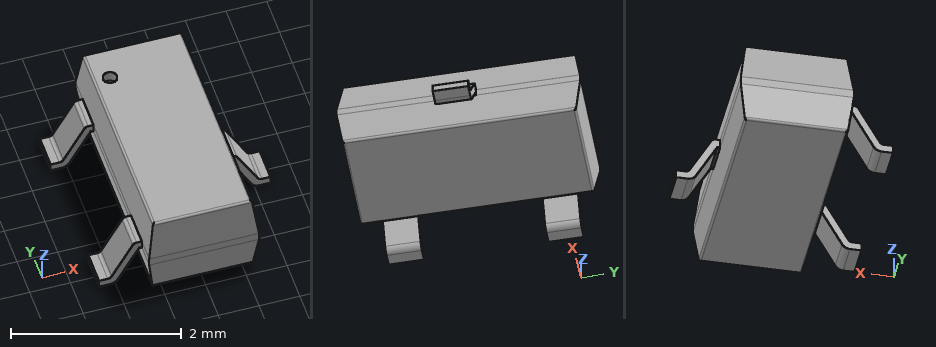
import cadquery as cq
import math

total_width = 2.4
total_height = 1.15
body_width = 1.35
body_length = 2.9
standoff = 0.058

lead_thickness = 0.107
lead_width = 0.423
lead_top = 0.63
lead_row_pitch = 1.9
shoulder_length = 0.095
lead_slope = 61.0
bend_radius = 0.055
heel_radius = 0.107

draft_angle = 7.5
edge_radius = 0.03

mark_diameter = 0.168
mark_depth = 0.15
mark_inset = 0.27

band_bottom = lead_top - lead_thickness
lead_y = lead_row_pitch / 2


def tapered_half(start_z, height):
    """Drafted half of the body; a negative height grows downwards."""
    half = (
        cq.Workplane("XY")
        .workplane(offset=start_z)
        .rect(body_width, body_length)
        .extrude(height, taper=draft_angle)
    )
    outer_face = ">Z" if height > 0 else "<Z"
    return half.faces(outer_face).edges().fillet(edge_radius)


def make_body():
    band = (
        cq.Workplane("XY")
        .workplane(offset=band_bottom)
        .rect(body_width, body_length)
        .extrude(lead_thickness)
    )
    upper = tapered_half(lead_top, total_height - lead_top)
    lower = tapered_half(band_bottom, standoff - band_bottom)
    mark = (
        cq.Workplane("XY")
        .workplane(offset=total_height - mark_depth)
        .center(mark_inset - body_width / 2, lead_y)
        .circle(mark_diameter / 2)
        .extrude(mark_depth)
    )
    return band.union(upper).union(lower).cut(mark)


def make_lead(center_y):
    """Gull-wing lead on the -X side, butting against the middle band."""
    tip_x = -total_width / 2
    body_x = -body_width / 2
    slope = math.radians(lead_slope)
    slope_run = (lead_top - lead_thickness) / math.tan(slope)
    corner_shift = lead_thickness * math.tan(slope / 2)
    upper_outer_x = body_x - shoulder_length
    upper_inner_x = upper_outer_x + corner_shift
    lower_inner_x = upper_outer_x - slope_run
    lower_outer_x = lower_inner_x + corner_shift

    lead = (
        cq.Workplane("XZ", origin=(0, center_y, 0))
        .moveTo(tip_x, 0)
        .lineTo(lower_outer_x, 0)
        .lineTo(upper_inner_x, band_bottom)
        .lineTo(body_x, band_bottom)
        .lineTo(body_x, lead_top)
        .lineTo(upper_outer_x, lead_top)
        .lineTo(lower_inner_x, lead_thickness)
        .lineTo(tip_x, lead_thickness)
        .close()
        .extrude(lead_width / 2, both=True)
    )

    def bend_edge(x, z):
        return cq.selectors.NearestToPointSelector((x, center_y, z))

    lead = lead.edges(bend_edge(upper_outer_x, lead_top)).fillet(bend_radius)
    lead = lead.edges(bend_edge(lower_inner_x, lead_thickness)).fillet(bend_radius)
    return lead.edges(bend_edge(lower_outer_x, 0)).fillet(heel_radius)


body = make_body()

leads = []
for center_y, turn in [(-lead_y, 0), (lead_y, 0), (0, 180)]:
    lead = make_lead(center_y).rotate((0, 0, 0), (0, 0, 1), turn)
    leads.append(lead.val())

result = cq.Compound.makeCompound([body.val(), *leads])